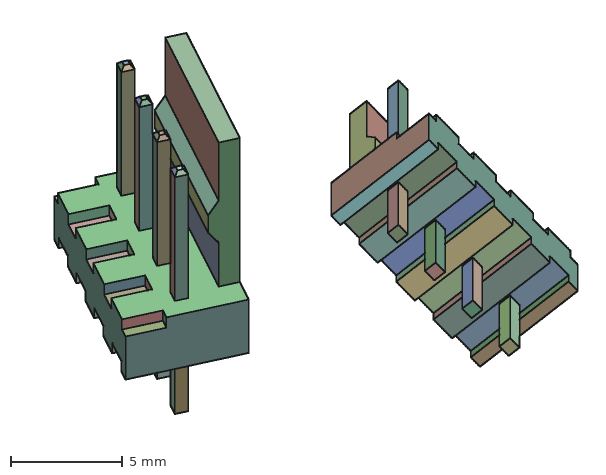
import cadquery as cq

TOTAL_HEIGHT = 15.24
PIN_COUNT = 4
BODY_LENGTH = 10.17
PITCH = BODY_LENGTH / PIN_COUNT

BODY_DEPTH = 5.84
BODY_HEIGHT = 3.17
PIN_TO_BACK = 2.87
BACK_Y = PIN_TO_BACK
FRONT_Y = BACK_Y - BODY_DEPTH

SLOT_WIDTH = 1.0
SLOT_LENGTH = 1.94
SLOT_DEPTH = 0.61

CHANNEL_WIDTH = PITCH / 2
CHANNEL_DEPTH = 0.61

PIN_SIZE = 0.64
PIN_BELOW_BODY = 3.54
PIN_LENGTH = 14.25
TIP_HEIGHT = 0.21
TIP_INSET = 0.18

WALL_LENGTH = (PIN_COUNT - 1) * PITCH
WALL_THICKNESS = 1.0
WALL_TOP = TOTAL_HEIGHT - PIN_BELOW_BODY
RIDGE_HEIGHT = 0.5
RIDGE_CENTER_Z = 7.01
RIDGE_BASE_WIDTH = 2.51
RIDGE_CREST_WIDTH = 1.02


def row_positions(count):
    """X positions of a centred row spaced by the pitch."""
    return [(i - (count - 1) / 2) * PITCH for i in range(count)]


def make_body():
    center_y = (FRONT_Y + BACK_Y) / 2
    body = (
        cq.Workplane("XY")
        .center(0, center_y)
        .box(BODY_LENGTH, BODY_DEPTH, BODY_HEIGHT, centered=(True, True, False))
    )
    for x in row_positions(PIN_COUNT + 1):
        slot = cq.Workplane("XY").box(SLOT_WIDTH, SLOT_LENGTH, SLOT_DEPTH, centered=(True, False, False))
        body = body.cut(slot.translate((x, FRONT_Y, BODY_HEIGHT - SLOT_DEPTH)))
    for x in row_positions(PIN_COUNT):
        channel = cq.Workplane("XY").box(CHANNEL_WIDTH, BODY_DEPTH, CHANNEL_DEPTH, centered=(True, True, False))
        body = body.cut(channel.translate((x, center_y, 0)))
    return body


def make_wall():
    """Wall and ridge as one YZ profile, extruded along the row."""
    face_y = BACK_Y - WALL_THICKNESS
    crest_y = face_y - RIDGE_HEIGHT
    half_base = RIDGE_BASE_WIDTH / 2
    half_crest = RIDGE_CREST_WIDTH / 2
    profile = [
        (BACK_Y, BODY_HEIGHT),
        (BACK_Y, WALL_TOP),
        (face_y, WALL_TOP),
        (face_y, RIDGE_CENTER_Z + half_base),
        (crest_y, RIDGE_CENTER_Z + half_crest),
        (crest_y, RIDGE_CENTER_Z - half_crest),
        (face_y, RIDGE_CENTER_Z - half_base),
        (face_y, BODY_HEIGHT),
    ]
    return cq.Workplane("YZ").polyline(profile).close().extrude(WALL_LENGTH / 2, both=True)


def make_pin(x):
    pin = cq.Workplane("XY").box(PIN_SIZE, PIN_SIZE, PIN_LENGTH, centered=(True, True, False))
    pin = pin.faces(">Z").chamfer(TIP_HEIGHT, TIP_INSET)
    return pin.translate((x, 0, -PIN_BELOW_BODY))


result = make_body().union(make_wall())
for pin_x in row_positions(PIN_COUNT):
    result = result.union(make_pin(pin_x))